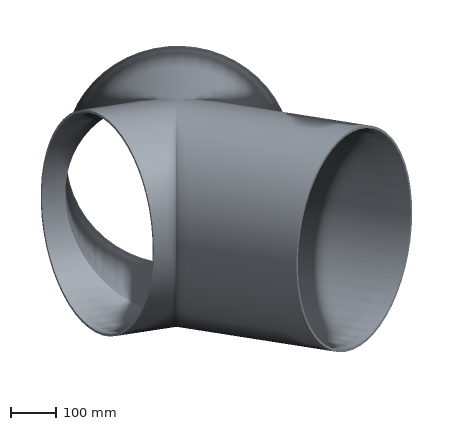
import cadquery as cq
import math

overall_width = 1046.0
overall_depth = 652.0
outer_diameter = 508.0
inner_diameter = 497.0
branch_angle = 30.0

outer_radius = outer_diameter / 2
cos_branch = math.cos(math.radians(branch_angle))
sin_branch = math.sin(math.radians(branch_angle))
branch_length = (overall_width / 2 - outer_radius * sin_branch) / cos_branch
rear_reach = branch_length * sin_branch + outer_radius * cos_branch
front_length = overall_depth - rear_reach

pipes = [
    (branch_angle, branch_length),
    (180 - branch_angle, branch_length),
    (270, front_length),
]


def wye(diameter):
    """Solid union of three equal round legs running outward from the origin."""
    legs = cq.Workplane("XY")
    for angle, length in pipes:
        leg = cq.Workplane("YZ").circle(diameter / 2).extrude(length)
        legs = legs.add(leg.rotate((0, 0, 0), (0, 0, 1), angle))
    return legs.combine()


front_waste = cq.Workplane("XY").box(
    overall_width, overall_depth, overall_width, centered=(True, False, True)
).translate((0, -front_length - overall_depth, 0))

result = wye(outer_diameter).cut(front_waste).cut(wye(inner_diameter))